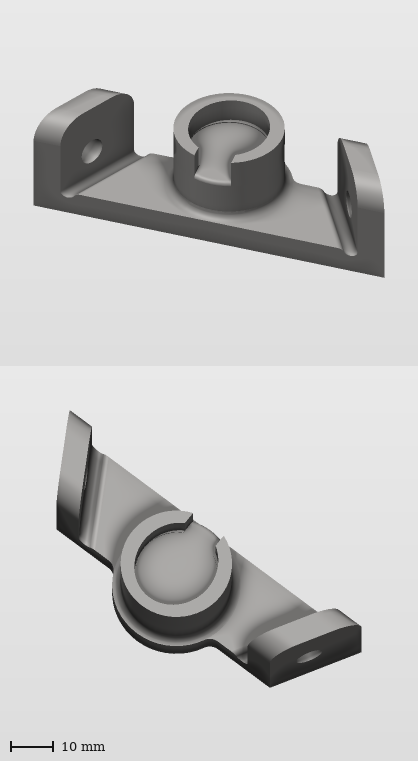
import cadquery as cq
import math

length = 86.1
depth = 20.0
floor_height = 6.0
side_angle = math.radians(60)
disc_radius = 15.0
web_fillet = 3.0

wall_height = 25.4
wall_thickness = 5.7
wall_corner_radius = 6.0
wall_hole_diameter = 6.45
wall_hole_height = 12.6

groove_radius = 1.55

cup_radius = 13.0
cup_top = 22.55
cup_foot_fillet = disc_radius - cup_radius
bore_radius = 9.5
bore_long_radius = 10.3
ledge_height = 16.8
cup_floor_height = 16.5
notch_width = 9.0
sill_radius = 1.0

half_length = length / 2
side_run = depth / math.tan(side_angle)
wall_run = wall_thickness / math.sin(side_angle)


def make_base():
    """Trapezoid and disc in one slab, blended where the disc meets the back edge."""
    back_half_length = half_length - side_run
    slab = (
        cq.Workplane("XY")
        .polyline([
            (-half_length, 0),
            (half_length, 0),
            (back_half_length, depth),
            (-back_half_length, depth),
        ])
        .close()
        .extrude(floor_height)
    )
    disc = cq.Workplane("XY").center(0, disc_radius).circle(disc_radius).extrude(floor_height)
    blend_y = depth + web_fillet
    blend_x = math.sqrt((disc_radius + web_fillet) ** 2 - (blend_y - disc_radius) ** 2)
    share = disc_radius / (disc_radius + web_fillet)
    touch_x = blend_x * share
    touch_y = disc_radius + (blend_y - disc_radius) * share
    web = (
        cq.Workplane("XY")
        .polyline([(-touch_x, touch_y), (-blend_x, depth), (blend_x, depth), (touch_x, touch_y)])
        .close()
        .extrude(floor_height)
    )
    base = slab.union(web).union(disc)
    for side in (-1, 1):
        blend = (
            cq.Workplane("XY")
            .center(side * blend_x, blend_y)
            .circle(web_fillet)
            .extrude(floor_height)
        )
        base = base.cut(blend)
    return base


def wall_plane():
    """Section plane at the left wall: local x points inward, square to its outer face."""
    inward = (math.sin(side_angle), -math.cos(side_angle), 0)
    along = (-math.cos(side_angle), -math.sin(side_angle), 0)
    middle = (-half_length + side_run / 2, depth / 2, 0)
    return cq.Plane(origin=middle, xDir=inward, normal=along)


def make_left_wall():
    """Slanted wall whose upper corners are rounded along X."""
    footprint = (
        cq.Workplane("XY")
        .polyline([
            (-half_length, 0),
            (-half_length + wall_run, 0),
            (-half_length + wall_run + side_run, depth),
            (-half_length + side_run, depth),
        ])
        .close()
        .extrude(wall_height)
    )
    rounded_outline = (
        cq.Workplane("XY")
        .box(length, depth, wall_height, centered=(True, False, False))
        .edges("|X and >Z")
        .fillet(wall_corner_radius)
    )
    return footprint.intersect(rounded_outline)


def make_left_wall_hole():
    """Hole square to the wall, centred on the wall's footprint."""
    centre = (-half_length + (side_run + wall_run) / 2, depth / 2, wall_hole_height)
    start = cq.Plane(origin=centre, normal=wall_plane().xDir.toTuple())
    return cq.Workplane(start).circle(wall_hole_diameter / 2).extrude(wall_thickness, both=True)


def make_left_groove():
    """Concave quarter at the wall, then an S curve up to the floor."""
    r = groove_radius
    bottom = floor_height - r
    lowest = wall_thickness + r
    half_run = r * math.sin(math.radians(60))
    mid_run = r * math.sin(math.radians(30))
    mid_rise = r * (1 - math.cos(math.radians(30)))
    corner_offset = r * math.sqrt(0.5)
    run_end = lowest + 2 * half_run
    return (
        cq.Workplane(wall_plane())
        .moveTo(wall_thickness, floor_height)
        .threePointArc((lowest - corner_offset, floor_height - corner_offset), (lowest, bottom))
        .threePointArc((lowest + mid_run, bottom + mid_rise), (lowest + half_run, bottom + r / 2))
        .threePointArc((run_end - mid_run, floor_height - mid_rise), (run_end, floor_height))
        .close()
        .extrude(depth, both=True)
    )


def with_mirror(left):
    return left.union(left.mirror("YZ"))


def make_cup():
    """Turned post with a flared foot, a stepped bore and a notch with a rounded sill."""
    foot_top = floor_height + cup_foot_fillet
    arc_offset = cup_foot_fillet * (1 - math.sqrt(0.5))
    post = (
        cq.Workplane("XZ")
        .moveTo(0, 0)
        .lineTo(disc_radius, 0)
        .lineTo(disc_radius, floor_height)
        .threePointArc((cup_radius + arc_offset, floor_height + arc_offset), (cup_radius, foot_top))
        .lineTo(cup_radius, cup_floor_height)
        .lineTo(0, cup_floor_height)
        .close()
        .revolve(360, (0, 0, 0), (0, 1, 0))
        .faces(">Z")
        .edges()
        .fillet(sill_radius)
    )
    sill_bottom = cup_floor_height - sill_radius
    ring = (
        cq.Workplane("XY", origin=(0, 0, sill_bottom))
        .circle(cup_radius)
        .circle(bore_radius)
        .extrude(cup_top - sill_bottom)
    )
    upper_bore = (
        cq.Workplane("XY", origin=(0, 0, ledge_height))
        .ellipse(bore_radius, bore_long_radius)
        .extrude(cup_top - ledge_height)
    )
    notch = (
        cq.Workplane("XY", origin=(0, 0, sill_bottom))
        .center(0, -cup_radius / 2)
        .rect(notch_width, cup_radius)
        .extrude(cup_top - sill_bottom)
    )
    ring = ring.cut(upper_bore).cut(notch)
    return post.union(ring).translate((0, disc_radius, 0))


result = (
    make_base()
    .cut(with_mirror(make_left_groove()))
    .union(with_mirror(make_left_wall()))
    .cut(with_mirror(make_left_wall_hole()))
    .union(make_cup())
)